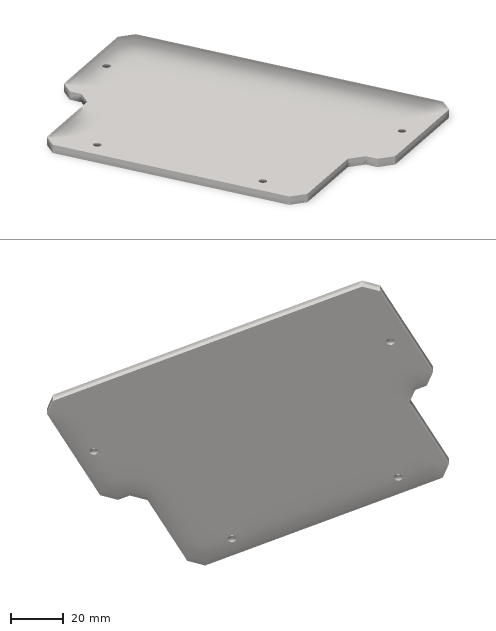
import cadquery as cq

head_width = 140.0
plate_depth = 99.5
thickness = 3.5
head_depth = 55.5
side_inset = 15.0
corner = 5.0
hole_diameter = 3.2
hole_margin = 7.5
rear_hole_setback = 29.5
front_hole_spacing = 70.0

half_head = head_width / 2
half_tail = half_head - side_inset
rear = plate_depth / 2
front = -rear
step = rear - head_depth

right_side = [
    (half_tail - corner, front),
    (half_tail, front + corner),
    (half_tail, step - corner),
    (half_tail + corner, step),
    (half_head - corner, step),
    (half_head, step + corner),
    (half_head, rear - corner),
    (half_head - corner, rear),
]
left_side = [(-x, y) for x, y in reversed(right_side)]

plate = (
    cq.Workplane("XY")
    .polyline(right_side + left_side)
    .close()
    .extrude(thickness)
)

rear_hole_x = half_head - hole_margin
rear_hole_y = rear - rear_hole_setback
front_hole_x = front_hole_spacing / 2
front_hole_y = front + hole_margin
hole_centers = [
    (side * x, y)
    for x, y in [(rear_hole_x, rear_hole_y), (front_hole_x, front_hole_y)]
    for side in (-1, 1)
]
holes = (
    cq.Workplane("XY")
    .pushPoints(hole_centers)
    .circle(hole_diameter / 2)
    .extrude(thickness)
)

result = plate.cut(holes)